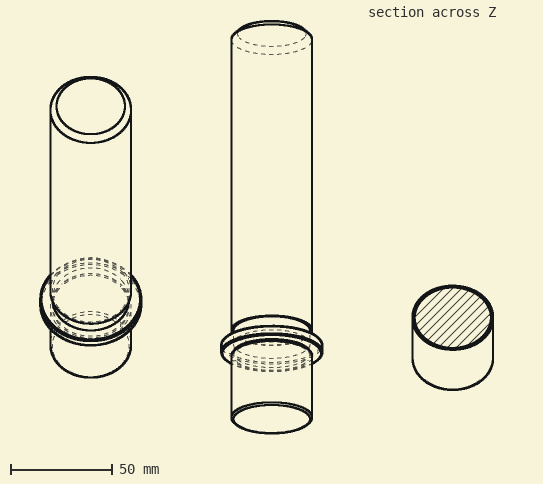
import cadquery as cq

total_length = 205.0
shaft_diameter = 40.0
neck_diameter = 38.0
collar_diameter = 50.0

base_top = 33.6
collar_bottom = 35.0
collar_top = 40.0
shaft_bottom = 47.2

tip_chamfer = 3.0
base_chamfer = 1.0
collar_chamfer = 0.6


def cylinder(diameter, bottom, top):
    """Upright cylinder on the Z axis between two heights."""
    return cq.Workplane("XY").workplane(offset=bottom).circle(diameter / 2).extrude(top - bottom)


base = cylinder(shaft_diameter, 0, base_top).faces("<Z").chamfer(base_chamfer)

neck = cylinder(neck_diameter, base_top, shaft_bottom)

collar = cylinder(collar_diameter, collar_bottom, collar_top).faces("<Z or >Z").chamfer(collar_chamfer)

shaft = cylinder(shaft_diameter, shaft_bottom, total_length).faces(">Z").chamfer(tip_chamfer)

result = base.union(neck).union(collar).union(shaft)